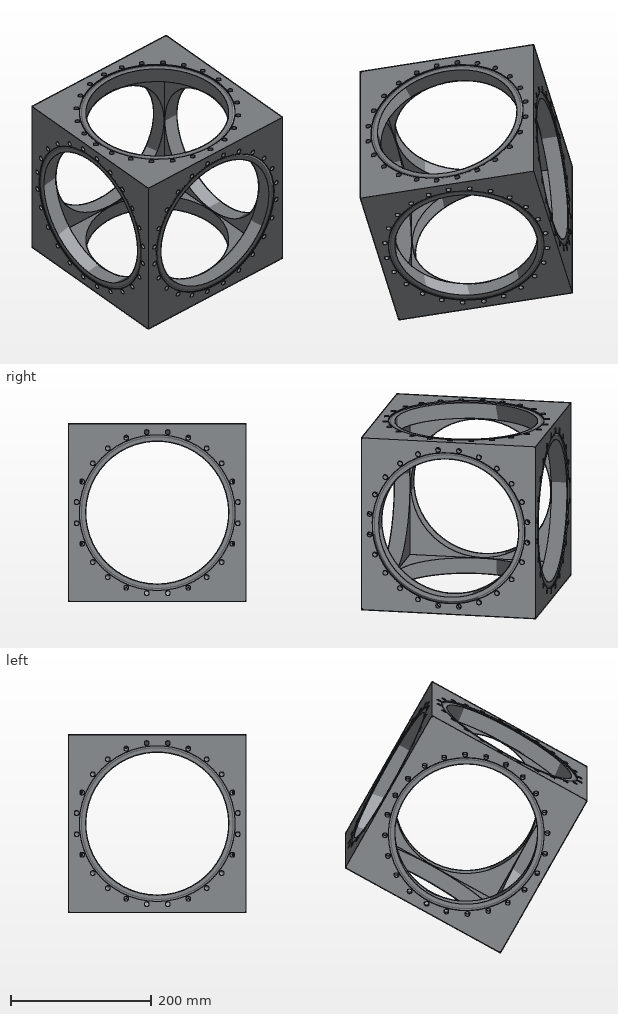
import cadquery as cq
import math

cube_size = 254.0
half_size = cube_size / 2
wall_thickness = 24.0
mitre_angle = 45.0
bore_diameter = 204.0

recess_diameter = 222.5
recess_depth = 1.8
knife_tip_diameter = 216.8
knife_tip_depth = 1.2

bolt_count = 24
bolt_circle_diameter = 232.0
bolt_hole_diameter = 6.8
bolt_hole_depth = 18.0
drill_point_angle = 118.0
bolt_pitch_angle = 360.0 / bolt_count


def make_mitred_blank():
    """Square plate, outer face at Z = half_size, with edges mitred towards the cavity."""
    return (
        cq.Workplane("XY", origin=(0, 0, half_size))
        .rect(cube_size, cube_size)
        .extrude(-wall_thickness, taper=mitre_angle)
    )


def make_port_cutter():
    """Bore, sealing recess and knife edge as one turned shape about Z."""
    bore_radius = bore_diameter / 2
    recess_radius = recess_diameter / 2
    knife_tip_radius = knife_tip_diameter / 2
    inner_face = half_size - wall_thickness
    overrun = 1.0
    return (
        cq.Workplane("XZ")
        .moveTo(0, inner_face - overrun)
        .lineTo(bore_radius, inner_face - overrun)
        .lineTo(bore_radius, half_size - knife_tip_depth)
        .lineTo(knife_tip_radius, half_size - knife_tip_depth)
        .lineTo(recess_radius, half_size - recess_depth)
        .lineTo(recess_radius, half_size)
        .lineTo(0, half_size)
        .close()
        .revolve(360, (0, 0, 0), (0, 1, 0))
    )


def make_bolt_hole():
    """Blind drilled hole about the Z axis, opening upwards at Z = 0."""
    hole_radius = bolt_hole_diameter / 2
    point_length = hole_radius / math.tan(math.radians(drill_point_angle / 2))
    return (
        cq.Workplane("XZ")
        .lineTo(hole_radius, 0)
        .lineTo(hole_radius, -bolt_hole_depth)
        .lineTo(0, -bolt_hole_depth - point_length)
        .close()
        .revolve(360, (0, 0, 0), (0, 1, 0))
    )


def make_port_plate(first_bolt_angle):
    """Port plate for the +Z side of the cube."""
    plate = make_mitred_blank().cut(make_port_cutter())
    bolt_hole = make_bolt_hole()
    bolt_circle_radius = bolt_circle_diameter / 2
    for index in range(bolt_count):
        angle = math.radians(first_bolt_angle + index * bolt_pitch_angle)
        x = bolt_circle_radius * math.cos(angle)
        y = bolt_circle_radius * math.sin(angle)
        plate = plate.cut(bolt_hole.translate((x, y, half_size)))
    return plate


end_plate = make_port_plate(0)
end_plates = [end_plate.rotate((0, 0, 0), (1, 0, 0), tilt) for tilt in (0, 180)]

upright_plate = make_port_plate(bolt_pitch_angle / 2).rotate((0, 0, 0), (0, 1, 0), 90)
side_plates = [upright_plate.rotate((0, 0, 0), (0, 0, 1), turn) for turn in (0, 90, 180, 270)]

result = cq.Compound.makeCompound([plate.val() for plate in end_plates + side_plates])